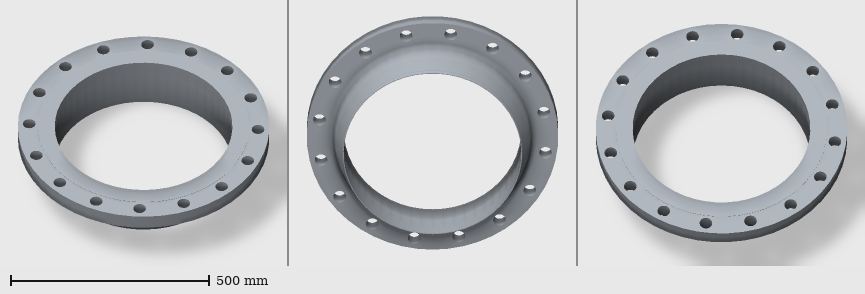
import cadquery as cq

flange_diameter = 635.0
face_height = 0.95
face_diameter = 533.5
flange_thickness = 40.0
bore_diameter = 448.0

hub_height = 100.5
hub_base_diameter = 505.0
neck_diameter = 457.0
weld_end_diameter = 452.0
bevel_height = 8.0
neck_length = 2.0
hub_fillet = 13.0

bolt_count = 16
bolt_circle_diameter = 578.0
bolt_hole_diameter = 32.0

overall_height = hub_height + flange_thickness + face_height


def plate():
    """Flange plate with its raised face."""
    underside = cq.Workplane("XY").workplane(offset=hub_height)
    disc = underside.circle(flange_diameter / 2).extrude(flange_thickness)
    return disc.faces(">Z").workplane().circle(face_diameter / 2).extrude(face_height)


def hub():
    """Tapered hub that narrows to a short straight neck with a bevelled weld end."""
    outline = [
        (0, 0),
        (weld_end_diameter / 2, 0),
        (neck_diameter / 2, bevel_height),
        (neck_diameter / 2, bevel_height + neck_length),
        (hub_base_diameter / 2, hub_height),
        (0, hub_height),
    ]
    return cq.Workplane("XZ").polyline(outline).close().revolve(360, (0, 0, 0), (0, 1, 0))


def bolt_holes():
    """Cutters for the through holes in the plate."""
    return (
        cq.Workplane("XY")
        .workplane(offset=hub_height)
        .polarArray(bolt_circle_diameter / 2, 0, 360, bolt_count)
        .circle(bolt_hole_diameter / 2)
        .extrude(flange_thickness)
    )


body = plate().union(hub())

hub_root = body.faces("%CONE").edges(">Z")
body = hub_root.fillet(hub_fillet)

bore = cq.Workplane("XY").circle(bore_diameter / 2).extrude(overall_height)
result = body.cut(bore).cut(bolt_holes())